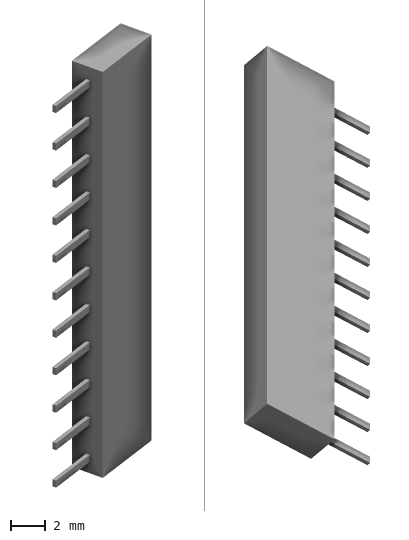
import cadquery as cq

body_width = 2.16
body_depth = 4.95
body_height = 27.53

pin_count = 11
pin_pitch = 2.54
pin_thickness = 0.25
pin_height = 0.48
pin_row_offset_x = 0.06
pin_row_offset_z = -0.04
overall_depth = 8.38
pin_length = overall_depth - body_depth


def make_body():
    """Block centred on X and Z, with its pin face at Y = 0."""
    return cq.Workplane("XY").box(
        body_width, body_depth, body_height, centered=(True, False, True)
    )


def make_pins():
    """Row of pins along Z, starting on the pin face and extending toward -Y."""
    return (
        cq.Workplane("XZ")
        .center(pin_row_offset_x, pin_row_offset_z)
        .rarray(1, pin_pitch, 1, pin_count)
        .rect(pin_thickness, pin_height)
        .extrude(pin_length)
    )


result = make_body().union(make_pins())